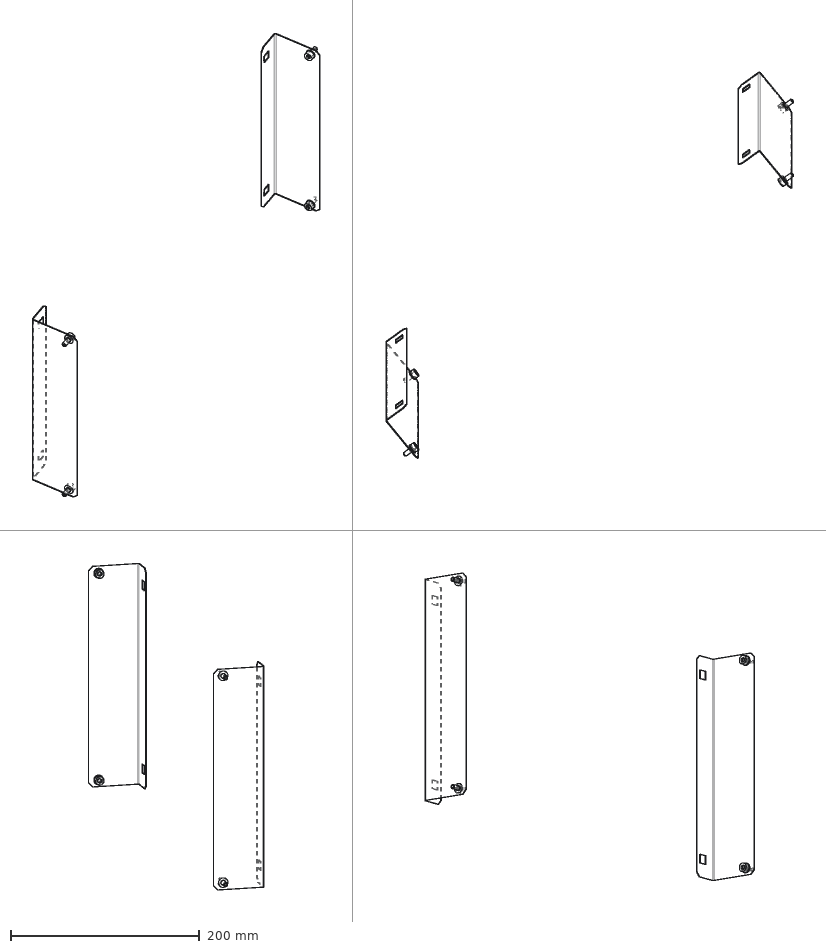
import cadquery as cq

span_y = 519.0
bracket_height = 240.0
panel_width = 56.0
flange_width = 28.5
sheet = 1.0
bend_radius = 1.9
corner_cut = 4.7

square_size = 9.5
square_from_panel = 18.0
square_spacing = 200.0

shank_diameter = 4.5
shank_length = 11.5
tip_chamfer = 0.95
head_diameter = 9.5
head_height = 4.5
socket_width = 4.0
socket_depth = 2.35
washer_diameter = 10.5
washer_thickness = 0.95
clearance_diameter = 5.0
screw_from_edge = 11.0
screw_spacing = 224.5

tip_y = -span_y / 2
head_y = tip_y + shank_length
panel_inner_y = head_y - washer_thickness
panel_y = panel_inner_y - sheet
screw_x = panel_width - screw_from_edge
half_height = bracket_height / 2
screw_heights = (-screw_spacing / 2, screw_spacing / 2)
square_heights = (-square_spacing / 2, square_spacing / 2)


def cylinder_along_y(diameter, start_y, length, z):
    """Cylinder on a screw axis, running from start_y toward +Y."""
    plane = cq.Plane(origin=(screw_x, start_y, z), xDir=(-1, 0, 0), normal=(0, 1, 0))
    return cq.Workplane(plane).circle(diameter / 2).extrude(length)


def rounded_block(x, y, corner_radius):
    """Full-height block from the corner (x, y), with that corner rounded."""
    return (
        cq.Workplane("XY", origin=(x, y, -half_height))
        .rect(panel_width, flange_width, centered=False)
        .extrude(bracket_height)
        .edges("|Z and <X and <Y")
        .fillet(corner_radius)
    )


def make_bracket():
    """Bent sheet angle of the -Y side, with square holes and screw holes."""
    outside = rounded_block(0, panel_y, bend_radius)
    inside = rounded_block(sheet, panel_inner_y, bend_radius - sheet)
    bracket = outside.cut(inside)
    bracket = bracket.faces(">X").edges("|Y").chamfer(corner_cut)
    bracket = bracket.faces(">Y").edges("|X").chamfer(corner_cut)
    for z in square_heights:
        square = cq.Workplane("XY").box(2 * sheet, square_size, square_size)
        square = square.translate((sheet / 2, panel_y + square_from_panel, z))
        bracket = bracket.cut(square)
    for z in screw_heights:
        bracket = bracket.cut(cylinder_along_y(clearance_diameter, panel_y, sheet, z))
    return bracket


def make_washer(z):
    """Flat washer between the panel and the screw head."""
    disc = cylinder_along_y(washer_diameter, panel_inner_y, washer_thickness, z)
    bore = cylinder_along_y(clearance_diameter, panel_inner_y, washer_thickness, z)
    return disc.cut(bore)


def make_screw(z):
    """Socket head screw with its head on the inside of the panel."""
    shank = cylinder_along_y(shank_diameter, tip_y, shank_length, z)
    shank = shank.faces("<Y").chamfer(tip_chamfer)
    head = cylinder_along_y(head_diameter, head_y, head_height, z)
    socket = (
        head.faces(">Y")
        .workplane(centerOption="CenterOfBoundBox")
        .polygon(6, socket_width, circumscribed=True)
        .extrude(-socket_depth, combine=False)
    )
    return head.cut(socket).union(shank)


bracket = make_bracket()
washers = [make_washer(z) for z in screw_heights]
screws = [make_screw(z) for z in screw_heights]
near_bodies = [bracket, *washers, *screws]

far_bodies = [body.mirror("XZ") for body in near_bodies]

result = cq.Compound.makeCompound([body.val() for body in near_bodies + far_bodies])